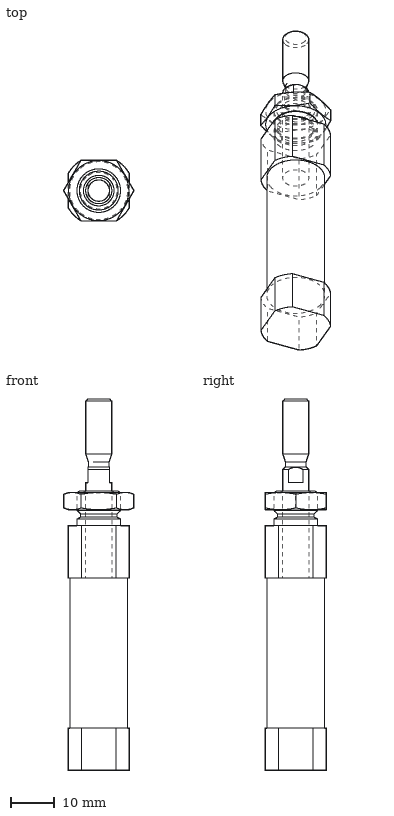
import cadquery as cq
import math

rear_cap_height = 9.7
head_bottom = 44.1
head_top = 56.1
nose_length = 8.0
nose_top = head_top + nose_length
rod_reach = 21.1
rod_top = nose_top + rod_reach

cap_width = 14.0
cap_corner_diameter = 16.1
tube_diameter = 13.3

nose_diameter = 10.0
nose_tip_diameter = 8.92
nose_tip_chamfer = (nose_diameter - nose_tip_diameter) / 2
undercut_diameter = 8.4
undercut_lower_taper = 0.5
undercut_upper_taper = (nose_diameter - undercut_diameter) / 2
collar_height = 1.5
undercut_floor = 0.7

rod_diameter = 6.0
rod_neck_diameter = 4.8
rod_shoulder_chamfer = (rod_diameter - rod_neck_diameter) / 2
rod_tip_diameter = 4.92
rod_tip_chamfer = (rod_diameter - rod_tip_diameter) / 2
rod_thread_length = 12.7
thread_runout = 1.8
rod_neck_length = 1.1
flats_width = 5.0
flats_offset = 1.9
flats_bottom = nose_top + flats_offset
bore_mouth_chamfer = 0.5

nut_width = 14.0
nut_corner_diameter = nut_width / math.cos(math.radians(30))
nut_thickness = 4.0
nut_setback = 0.35
nut_top = nose_top - nut_setback
nut_bottom = nut_top - nut_thickness
nut_face_diameter = 13.8
nut_chamfer_angle = 20.0


def cylinder(diameter, bottom, top):
    return cq.Workplane("XY").workplane(offset=bottom).circle(diameter / 2).extrude(top - bottom)


def turned(profile):
    """Revolve a list of (diameter, height) points about Z, closed along the axis."""
    bottom = profile[0][1]
    top = profile[-1][1]
    outline = [(0, bottom)] + [(diameter / 2, z) for diameter, z in profile] + [(0, top)]
    return cq.Workplane("XZ").polyline(outline).close().revolve(360, (0, 0, 0), (0, 1, 0))


def end_cap(bottom, top):
    height = top - bottom
    square = cq.Workplane("XY").workplane(offset=bottom).rect(cap_width, cap_width).extrude(height)
    return square.intersect(cylinder(cap_corner_diameter, bottom, top))


def make_nose():
    collar_top = head_top + collar_height
    floor_bottom = collar_top + undercut_lower_taper
    floor_top = floor_bottom + undercut_floor
    return turned([
        (nose_diameter, head_top),
        (nose_diameter, collar_top),
        (undercut_diameter, floor_bottom),
        (undercut_diameter, floor_top),
        (nose_diameter, floor_top + undercut_upper_taper),
        (nose_diameter, nose_top - nose_tip_chamfer),
        (nose_tip_diameter, nose_top),
    ])


def make_rod_bore():
    """Blind bore for the rod, chamfered at its mouth."""
    return turned([
        (rod_diameter, head_bottom),
        (rod_diameter, nose_top - bore_mouth_chamfer),
        (rod_diameter + 2 * bore_mouth_chamfer, nose_top),
    ])


def make_housing():
    rear_cap = end_cap(0, rear_cap_height)
    tube = cylinder(tube_diameter, rear_cap_height, head_bottom)
    head = end_cap(head_bottom, head_top)
    return rear_cap.union(tube).union(head).union(make_nose()).cut(make_rod_bore())


def make_rod():
    thread_bottom = rod_top - rod_thread_length
    neck_top = thread_bottom - thread_runout
    neck_bottom = neck_top - rod_neck_length
    rod = turned([
        (rod_diameter, head_bottom),
        (rod_diameter, neck_bottom - rod_shoulder_chamfer),
        (rod_neck_diameter, neck_bottom),
        (rod_neck_diameter, neck_top),
        (rod_diameter, thread_bottom),
        (rod_diameter, rod_top - rod_tip_chamfer),
        (rod_tip_diameter, rod_top),
    ])
    flats_height = neck_bottom - flats_bottom
    for side in (-1, 1):
        flat_cutter = (
            cq.Workplane("XY")
            .workplane(offset=flats_bottom)
            .center(side * (flats_width + rod_diameter) / 2, 0)
            .rect(rod_diameter, rod_diameter)
            .extrude(flats_height)
        )
        rod = rod.cut(flat_cutter)
    return rod


def make_nut():
    hexagon = (
        cq.Workplane("XY")
        .workplane(offset=nut_bottom)
        .polygon(6, nut_corner_diameter)
        .extrude(nut_thickness)
    )
    corner_drop = (nut_corner_diameter - nut_face_diameter) / 2 * math.tan(math.radians(nut_chamfer_angle))
    chamfered_blank = turned([
        (nut_face_diameter, nut_bottom),
        (nut_corner_diameter, nut_bottom + corner_drop),
        (nut_corner_diameter, nut_top - corner_drop),
        (nut_face_diameter, nut_top),
    ])
    return hexagon.intersect(chamfered_blank).cut(cylinder(nose_diameter, nut_bottom, nut_top))


housing = make_housing()
rod = make_rod()
nut = make_nut()

result = cq.Compound.makeCompound([housing.val(), rod.val(), nut.val()])